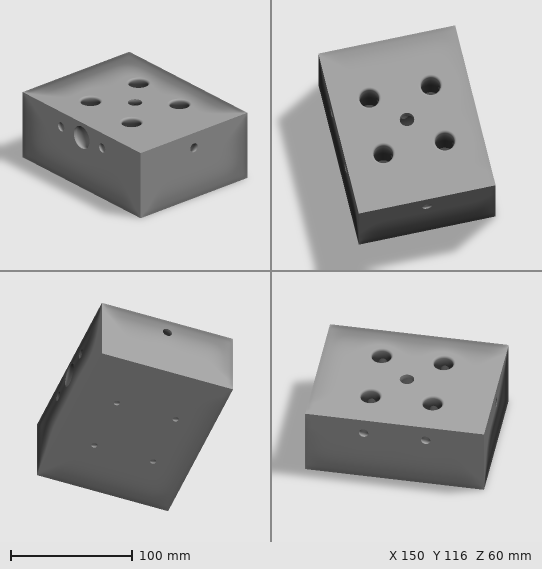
import cadquery as cq

length = 150.0
width = 116.0
height = 60.0

pocket_spacing = 52.0
pocket_diameter = 16.0
pocket_depth = 30.0
mouth_radius = 2.0
floor_hole_diameter = 5.1

passage_depth = 13.6
passage_z = height / 2 - passage_depth
cross_hole_diameter = 8.0
main_bore_diameter = 20.0
main_bore_past_centre = 7.0

port_diameter = 12.0

top_z = height / 2
front_y = -width / 2


def cylinder(start, direction, diameter, depth):
    """Cylinder from a centre point along a direction."""
    return cq.Workplane(
        cq.Solid.makeCylinder(diameter / 2, depth, cq.Vector(*start), cq.Vector(*direction))
    )


pocket_half_spacing = pocket_spacing / 2
block = cq.Workplane("XY").box(length, width, height)
top_face = block.faces(">Z").workplane()
block = top_face.rect(pocket_spacing, pocket_spacing, forConstruction=True).vertices().cboreHole(
    floor_hole_diameter, pocket_diameter, pocket_depth
)
block = block.faces(">Z").edges("%CIRCLE").fillet(mouth_radius)

for x in (-pocket_half_spacing, pocket_half_spacing):
    block = block.cut(cylinder((x, front_y, passage_z), (0, 1, 0), cross_hole_diameter, width))

block = block.cut(cylinder((-length / 2, 0, passage_z), (1, 0, 0), cross_hole_diameter, length))

main_bore_depth = width / 2 + main_bore_past_centre
block = block.cut(cylinder((0, front_y, passage_z), (0, 1, 0), main_bore_diameter, main_bore_depth))
block = block.cut(cylinder((0, 0, top_z), (0, 0, -1), port_diameter, passage_depth))

result = block